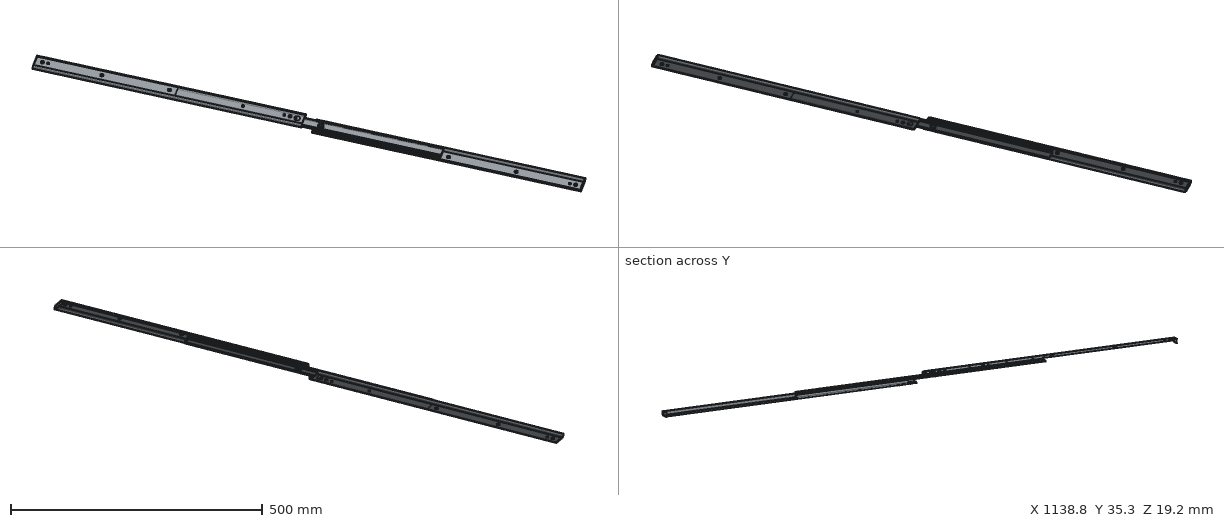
import cadquery as cq
import math


overall_length = 1138.8
overall_width = 35.29
overall_height = 19.2
rail_length = 558.8
middle_length = 553.0
sheet_thickness = 1.2

centre_x = overall_length / 2
mid_height = overall_height / 2
rail_start = overall_length - rail_length
middle_start = centre_x - middle_length / 2
middle_end = centre_x + middle_length / 2

web_half_width = 12.2
race_radius = 4.2
shoulder_angle = 28.0
race_lip_angle = 36.0
end_tab_height = 9.0

large_hole_diameter = 6.2
small_hole_diameter = 4.4
large_hole_distances = [15.4, 138.9, 279.5, 530.0]
small_hole_distances = [27.4, 432.2, 517.9, 542.0]

middle_width = 20.6
bend_radius = 2.0
flange_tip_angle = 50.0
access_hole_diameter = 11.6
access_hole_offset = 24.6

retainer_end_gap = 1.0
retainer_thickness = 0.8
retainer_half_width = 11.6
retainer_floor = 2.0
retainer_bend_radius = 3.6
retainer_height = 5.3


def around(centre, radius, angle):
    """Point at the given angle in degrees on a circle in the section plane."""
    turn = math.radians(angle)
    return (centre[0] + radius * math.cos(turn), centre[1] + radius * math.sin(turn))


def add_arc(outline, centre, radius, start, end):
    """Carry the outline along a circle from the start angle to the end angle."""
    middle = around(centre, radius, (start + end) / 2)
    return outline.threePointArc(middle, around(centre, radius, end))


def symmetric_bar(half_outline, length):
    """Extrude the +Y half of a section along X and complete it with its mirror image."""
    half = half_outline.close().extrude(length)
    return half.union(half.mirror("XZ"))


def section_plane(start):
    """Plane of Y and Z at the given place along X."""
    return cq.Workplane("YZ", origin=(start, 0, 0))


def vertical_holes(places, diameter):
    """Cutters on the centre line, through the full height of the slide."""
    points = [(x, 0) for x in places]
    return cq.Workplane("XY").pushPoints(points).circle(diameter / 2).extrude(overall_height)


def make_rail():
    """Lower rail: channel open upward, with an end tab and screw holes."""
    race_start = shoulder_angle - 90
    inner_radius = race_radius - sheet_thickness
    race_y = overall_width / 2 - race_radius
    shoulder_top_y = around((race_y, 0), race_radius, race_start)[0]
    shoulder_rise = (shoulder_top_y - web_half_width) * math.tan(math.radians(shoulder_angle))
    race_z = shoulder_rise - race_radius * math.sin(math.radians(race_start))
    race_centre = (race_y, race_z)
    inner_web_half_width = web_half_width - sheet_thickness * math.tan(math.radians(shoulder_angle / 2))

    outline = section_plane(rail_start).moveTo(0, 0).lineTo(web_half_width, 0)
    outline = outline.lineTo(*around(race_centre, race_radius, race_start))
    outline = add_arc(outline, race_centre, race_radius, race_start, race_lip_angle)
    outline = outline.lineTo(*around(race_centre, inner_radius, race_lip_angle))
    outline = add_arc(outline, race_centre, inner_radius, race_lip_angle, race_start)
    outline = outline.lineTo(inner_web_half_width, sheet_thickness).lineTo(0, sheet_thickness)
    rail = symmetric_bar(outline, rail_length)

    end_tab = cq.Workplane("XY").box(
        sheet_thickness, 2 * inner_web_half_width, end_tab_height, centered=(False, True, False)
    )
    rail = rail.union(end_tab.translate((overall_length - sheet_thickness, 0, 0)))

    for distances, diameter in (
        (large_hole_distances, large_hole_diameter),
        (small_hole_distances, small_hole_diameter),
    ):
        rail = rail.cut(vertical_holes([overall_length - d for d in distances], diameter))
    return rail


def make_middle_channel():
    """Lower middle channel: web against the mid plane, flanges curling down."""
    inner_bend_radius = bend_radius - sheet_thickness
    bend_centre = (middle_width / 2 - bend_radius, mid_height - bend_radius)

    outline = section_plane(middle_start).moveTo(0, mid_height).lineTo(bend_centre[0], mid_height)
    outline = add_arc(outline, bend_centre, bend_radius, 90, -flange_tip_angle)
    outline = outline.lineTo(*around(bend_centre, inner_bend_radius, -flange_tip_angle))
    outline = add_arc(outline, bend_centre, inner_bend_radius, -flange_tip_angle, 90)
    outline = outline.lineTo(0, mid_height - sheet_thickness)
    channel = symmetric_bar(outline, middle_length)

    access_places = [centre_x - access_hole_offset, centre_x + access_hole_offset]
    return channel.cut(vertical_holes(access_places, access_hole_diameter))


def make_ball_retainer():
    """Lower ball retainer: thin channel between the rail and the middle channel."""
    start = rail_start + retainer_end_gap
    length = middle_end - rail_start - 2 * retainer_end_gap
    inner_half_width = retainer_half_width - retainer_thickness
    top = retainer_floor + retainer_height
    inner_floor = retainer_floor + retainer_thickness
    inner_bend_radius = retainer_bend_radius - retainer_thickness
    bend_centre = (
        retainer_half_width - retainer_bend_radius,
        retainer_floor + retainer_bend_radius,
    )

    outline = section_plane(start).moveTo(0, retainer_floor)
    outline = outline.lineTo(bend_centre[0], retainer_floor)
    outline = add_arc(outline, bend_centre, retainer_bend_radius, -90, 0)
    outline = outline.lineTo(retainer_half_width, top).lineTo(inner_half_width, top)
    outline = outline.lineTo(inner_half_width, bend_centre[1])
    outline = add_arc(outline, bend_centre, inner_bend_radius, 0, -90)
    outline = outline.lineTo(0, inner_floor)
    retainer = symmetric_bar(outline, length)
    return retainer.cut(vertical_holes([centre_x + access_hole_offset], access_hole_diameter))


def turned_over(body):
    """The matching body of the upper half."""
    return body.rotate((centre_x, 0, mid_height), (centre_x, 1, mid_height), 180)


bodies = []
for lower_body in (make_rail(), make_middle_channel(), make_ball_retainer()):
    for body in (lower_body, turned_over(lower_body)):
        bodies.append(body.val())

result = cq.Compound.makeCompound(bodies)